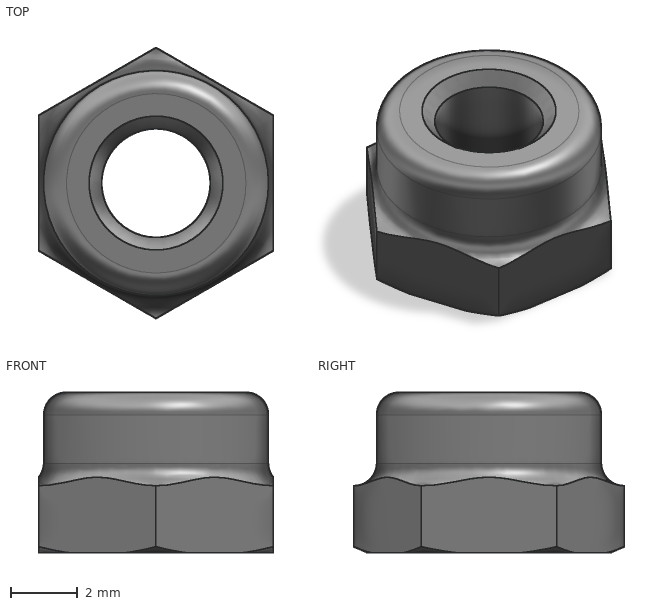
import cadquery as cq
import math

across_corners = 8.09
corner_radius = across_corners / 2
corner_top = 2.01
base_circle_radius = 3.625
base_bevel_height = 0.19

total_height = 4.8
collar_radius = 3.36
collar_rounding = 0.68
flare_top = 2.68

bore_radius = 1.62
countersink_radius = 2.0
countersink_depth = countersink_radius - bore_radius


def make_hexagon():
    corners = [
        (
            corner_radius * math.cos(math.radians(90 + 60 * i)),
            corner_radius * math.sin(math.radians(90 + 60 * i)),
        )
        for i in range(6)
    ]
    return cq.Workplane("XY").polyline(corners).close().extrude(total_height)


def make_turned_blank():
    """Revolved envelope: bevelled base, concave flare, rounded collar and bore."""
    flare_width = corner_radius - collar_radius
    flare_drop = flare_top - corner_top
    flare_radius = (flare_width**2 + flare_drop**2) / (2 * flare_width)
    half_sweep = math.asin(flare_drop / flare_radius) / 2
    flare_middle = (
        collar_radius + flare_radius * (1 - math.cos(half_sweep)),
        flare_top - flare_radius * math.sin(half_sweep),
    )
    rounding_inset = collar_rounding * (1 - math.sqrt(0.5))
    rounding_middle = (collar_radius - rounding_inset, total_height - rounding_inset)

    return (
        cq.Workplane("XZ")
        .moveTo(bore_radius, 0)
        .lineTo(base_circle_radius, 0)
        .lineTo(corner_radius, base_bevel_height)
        .lineTo(corner_radius, corner_top)
        .threePointArc(flare_middle, (collar_radius, flare_top))
        .lineTo(collar_radius, total_height - collar_rounding)
        .threePointArc(rounding_middle, (collar_radius - collar_rounding, total_height))
        .lineTo(countersink_radius, total_height)
        .lineTo(bore_radius, total_height - countersink_depth)
        .close()
        .revolve(360, (0, 0, 0), (0, 1, 0))
    )


result = make_turned_blank().intersect(make_hexagon())